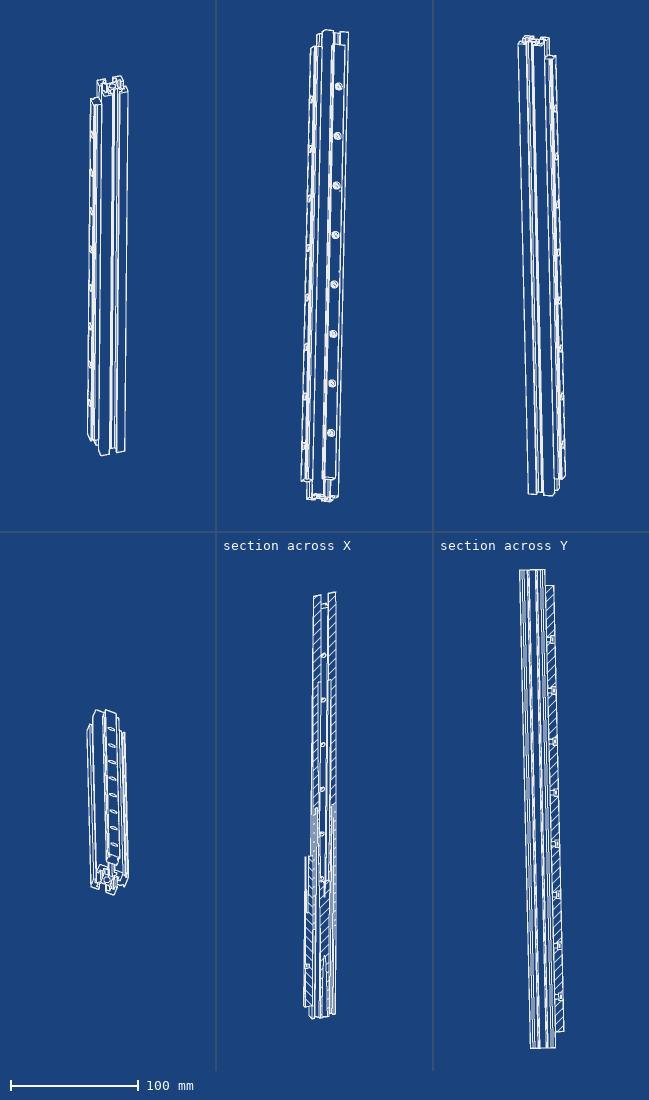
import cadquery as cq
import math

OVERALL_HEIGHT = 375.5
OVERALL_DEPTH = 26.5
LEAN_ANGLE = 1.3

SIDE_COUNT = 4
PROFILE_WIDTH = 20.0
PROFILE_LENGTH = (
    OVERALL_HEIGHT - PROFILE_WIDTH * math.sin(math.radians(LEAN_ANGLE))
) / math.cos(math.radians(LEAN_ANGLE))
CORNER_RADIUS = 1.0
SLOT_OPENING = 6.0
SLOT_DEPTH = 6.0
SLOT_INNER_WIDTH = 11.0
LIP_THICKNESS = 2.0
FLOOR_WIDTH = 6.0
GROOVE_WIDTH = 1.0
GROOVE_DEPTH = 0.5
CORE_BORE_DIAMETER = 5.0

RAIL_LENGTH = 350.0
RAIL_WIDTH = 9.0
RAIL_HEIGHT = OVERALL_DEPTH - PROFILE_WIDTH
RACE_CENTER = 5.0
RACE_WIDTH = 2.3
RACE_FLOOR_WIDTH = 0.8
RACE_DEPTH = 1.0
BASE_CHAMFER = 0.5
HOLE_COUNT = 8
HOLE_SPAN = 280.0
HOLE_DIAMETER = 3.5
COUNTERBORE_DIAMETER = 5.5
COUNTERBORE_DEPTH = 3.5
FRONT_HOLE_SHIFT = 1.0
LEFT_HOLE_SHIFT = -7.5


def slot_cutter():
    """T-slot, with a tapered bottom and a V groove along its floor, in the -Y face."""
    face = -PROFILE_WIDTH / 2
    lip = face + LIP_THICKNESS
    floor = face + SLOT_DEPTH
    taper_start = floor - (SLOT_INNER_WIDTH - FLOOR_WIDTH) / 2
    half_outline = [
        (SLOT_OPENING / 2, face),
        (SLOT_OPENING / 2, lip),
        (SLOT_INNER_WIDTH / 2, lip),
        (SLOT_INNER_WIDTH / 2, taper_start),
        (FLOOR_WIDTH / 2, floor),
        (GROOVE_WIDTH / 2, floor),
    ]
    mirrored = [(-x, y) for x, y in reversed(half_outline)]
    outline = half_outline + [(0, floor + GROOVE_DEPTH)] + mirrored
    return cq.Workplane("XY").polyline(outline).close().extrude(PROFILE_LENGTH / 2, both=True)


def make_profile():
    """Upright profile centred on the origin, with a slot in each of its four sides."""
    body = cq.Workplane("XY").box(PROFILE_WIDTH, PROFILE_WIDTH, PROFILE_LENGTH)
    body = body.edges("|Z").fillet(CORNER_RADIUS)
    for side in range(SIDE_COUNT):
        body = body.cut(slot_cutter().rotate((0, 0, 0), (0, 0, 1), side * 360 / SIDE_COUNT))
    return body.faces(">Z").workplane().hole(CORE_BORE_DIAMETER)


def make_rail(hole_shift):
    """Upright rail on the -Y face of the profile; hole_shift moves its row of holes along Z."""
    base = -PROFILE_WIDTH / 2
    top = base - RAIL_HEIGHT
    race = base - RACE_CENTER
    half_outline = [
        (RAIL_WIDTH / 2 - BASE_CHAMFER, base),
        (RAIL_WIDTH / 2, base - BASE_CHAMFER),
        (RAIL_WIDTH / 2, race + RACE_WIDTH / 2),
        (RAIL_WIDTH / 2 - RACE_DEPTH, race + RACE_FLOOR_WIDTH / 2),
        (RAIL_WIDTH / 2 - RACE_DEPTH, race - RACE_FLOOR_WIDTH / 2),
        (RAIL_WIDTH / 2, race - RACE_WIDTH / 2),
        (RAIL_WIDTH / 2, top),
    ]
    mirrored = [(-x, y) for x, y in reversed(half_outline)]
    rail = (
        cq.Workplane("XY")
        .polyline(half_outline + mirrored)
        .close()
        .extrude(RAIL_LENGTH / 2, both=True)
    )
    pitch = HOLE_SPAN / (HOLE_COUNT - 1)
    centers = [(0, hole_shift - HOLE_SPAN / 2 + i * pitch) for i in range(HOLE_COUNT)]
    return (
        cq.Workplane("XZ", origin=(0, top, 0))
        .add(rail)
        .pushPoints(centers)
        .cboreHole(HOLE_DIAMETER, COUNTERBORE_DIAMETER, COUNTERBORE_DEPTH)
    )


def lean(body):
    """Tilt a body about the Y axis so that its top moves toward +X."""
    return body.rotate((0, 0, 0), (0, 1, 0), LEAN_ANGLE)


profile = lean(make_profile())
front_rail = lean(make_rail(FRONT_HOLE_SHIFT))
left_rail = lean(make_rail(LEFT_HOLE_SHIFT).rotate((0, 0, 0), (0, 0, 1), -90))

result = cq.Compound.makeCompound([profile.val(), front_rail.val(), left_rail.val()])